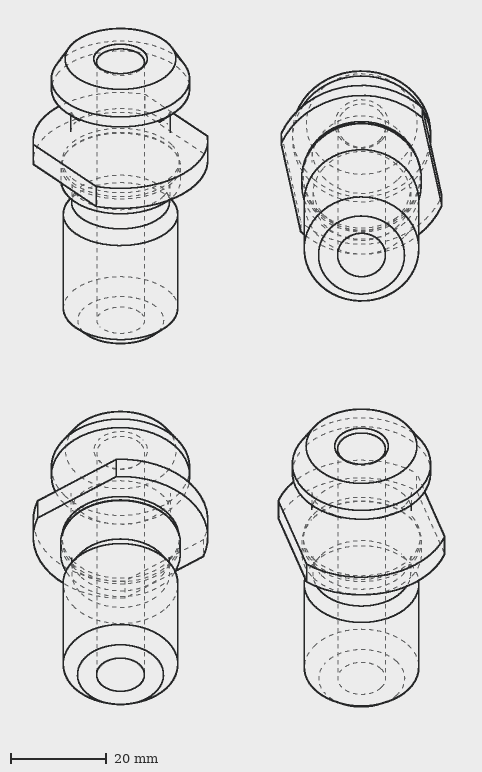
import cadquery as cq
import math


total_height = 65.4
flange_bottom = 40.0
flange_thickness = 5.0
flange_top = flange_bottom + flange_thickness

head_diameter = 28.96
head_taper_height = 5.0
head_taper_angle = math.radians(30)
head_rim_height = 2.5
grip_angle = 45
neck_diameter = 20.83
neck_fillet = 2.5

flange_diameter = 36.56
flats_width = 30.15

pilot_diameter = 25.0
relief_diameter = 24.5
relief_height = 1.0
relief_chamfer_height = 0.4
pilot_bottom = 34.6
pilot_fillet = 0.5

undercut_diameter = 20.5
undercut_fillet = 0.4
shank_diameter = 24.0
shank_top = 26.55
shank_taper_angle = math.radians(30)
tip_chamfer = 3.0

bore_diameter = 10.0
bore_chamfer_width = 0.6
bore_chamfer_depth = 0.8


def arc_middle(center, radius, start_angle, end_angle):
    """Point halfway along an arc, angles in degrees."""
    angle = math.radians((start_angle + end_angle) / 2)
    return (center[0] + radius * math.cos(angle), center[1] + radius * math.sin(angle))


def revolve_about_z(profile):
    """Full turn of an XZ half-profile about the part's axis."""
    return profile.revolve(360, (0, 0, 0), (0, 1, 0))


def make_shank():
    """Shank, undercut and pilot collar, up to the underside of the flange."""
    shank_r = shank_diameter / 2
    undercut_r = undercut_diameter / 2
    pilot_r = pilot_diameter / 2
    relief_r = relief_diameter / 2
    undercut_bottom = shank_top + (shank_r - undercut_r) / math.tan(shank_taper_angle)
    relief_bottom = flange_bottom - relief_height

    inner_center = (undercut_r + undercut_fillet, pilot_bottom - undercut_fillet)
    outer_center = (pilot_r - pilot_fillet, pilot_bottom + pilot_fillet)
    profile = (
        cq.Workplane("XZ")
        .lineTo(shank_r - tip_chamfer, 0)
        .lineTo(shank_r, tip_chamfer)
        .lineTo(shank_r, shank_top)
        .lineTo(undercut_r, undercut_bottom)
        .lineTo(undercut_r, inner_center[1])
        .threePointArc(
            arc_middle(inner_center, undercut_fillet, 180, 90), (inner_center[0], pilot_bottom)
        )
        .lineTo(outer_center[0], pilot_bottom)
        .threePointArc(
            arc_middle(outer_center, pilot_fillet, -90, 0), (pilot_r, outer_center[1])
        )
        .lineTo(pilot_r, relief_bottom - relief_chamfer_height)
        .lineTo(relief_r, relief_bottom)
        .lineTo(relief_r, flange_bottom)
        .lineTo(0, flange_bottom)
        .close()
    )
    return revolve_about_z(profile)


def make_flange():
    """Round flange cut by two flats facing -Y and +Y."""
    disc = cq.Workplane("XY").workplane(offset=flange_bottom).circle(flange_diameter / 2)
    flats = cq.Workplane("XY").workplane(offset=flange_bottom).rect(flange_diameter, flats_width)
    return disc.extrude(flange_thickness).intersect(flats.extrude(flange_thickness))


def make_head():
    """Neck and gripping head, with a conical gripping face under the rim."""
    head_r = head_diameter / 2
    neck_r = neck_diameter / 2
    top_r = head_r - head_taper_height * math.tan(head_taper_angle)
    rim_top = total_height - head_taper_height
    rim_bottom = rim_top - head_rim_height

    grip_end_r = neck_r + neck_fillet * (1 - math.cos(math.radians(grip_angle)))
    grip_end_z = rim_bottom - (head_r - grip_end_r) / math.tan(math.radians(grip_angle))
    fillet_r = neck_r + neck_fillet
    upper_center = (fillet_r, grip_end_z - neck_fillet * math.sin(math.radians(grip_angle)))
    lower_center = (fillet_r, flange_top + neck_fillet)
    profile = (
        cq.Workplane("XZ")
        .moveTo(0, flange_top)
        .lineTo(fillet_r, flange_top)
        .threePointArc(
            arc_middle(lower_center, neck_fillet, 270, 180), (neck_r, lower_center[1])
        )
        .lineTo(neck_r, upper_center[1])
        .threePointArc(
            arc_middle(upper_center, neck_fillet, 180, 180 - grip_angle), (grip_end_r, grip_end_z)
        )
        .lineTo(head_r, rim_bottom)
        .lineTo(head_r, rim_top)
        .lineTo(top_r, total_height)
        .lineTo(0, total_height)
        .close()
    )
    return revolve_about_z(profile)


def make_bore():
    """Through hole with a slightly steep chamfer at the head end."""
    bore_r = bore_diameter / 2
    profile = (
        cq.Workplane("XZ")
        .lineTo(bore_r, 0)
        .lineTo(bore_r, total_height - bore_chamfer_depth)
        .lineTo(bore_r + bore_chamfer_width, total_height)
        .lineTo(0, total_height)
        .close()
    )
    return revolve_about_z(profile)


result = make_shank().union(make_flange()).union(make_head()).cut(make_bore())